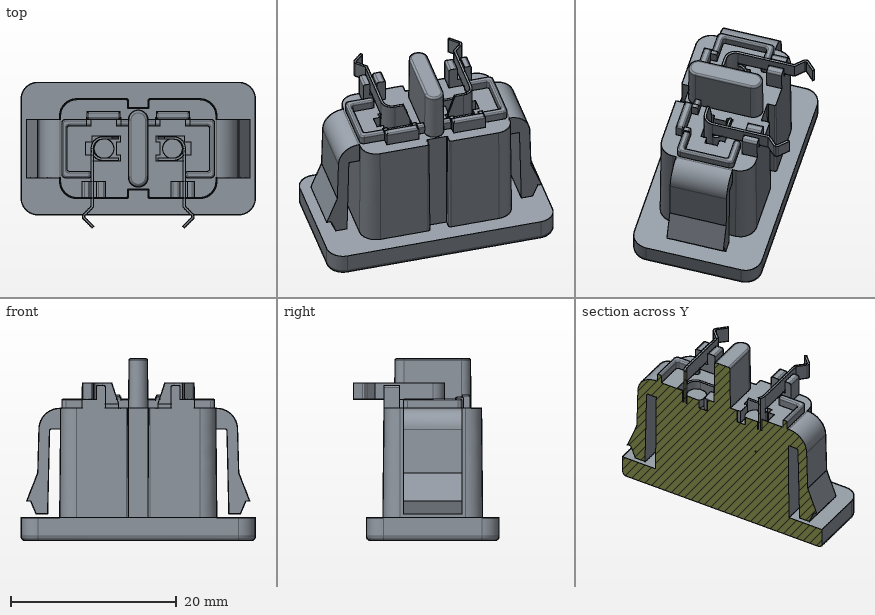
import cadquery as cq
import math

flange_length = 28.3
flange_width = 16.02
flange_height = 2.77
flange_corner = 2.05
flange_edge_round = 0.55

body_length = 19.0
body_width = 12.05
body_top = 16.0
body_corner = 2.07
body_draft = 0.55
groove_width = 2.32
groove_depth = 1.05
groove_edge_round = 0.28

blade_width = 2.38
blade_length = 9.28
blade_top = 22.0
blade_draft = 0.7
blade_edge_round = 0.25

clip_width = 7.08
clip_bend_radius = 2.55
clip_outer_x = 12.0
clip_root_overlap = 0.42
clip_underside = 13.47
clip_inner_x = 10.7
clip_inner_round = 0.17
clip_shoulder = (12.15, 8.18)
clip_tip = (13.47, 4.78)
clip_barb_x = 13.0
clip_foot_z = 3.23
clip_foot_outer_x = 12.35
clip_foot_inner_x = 10.92

rim_top = 17.1
rim_outer_x = 9.23
rim_outer_y = 3.55
rim_wall_x = 0.62
rim_wall_y = 0.8
rim_end_x = 5.72
rim_resume_x = 2.6
rim_corner_round = 0.48
rim_end_round = 0.28
rim_edge_round = 0.2
rim_end_post_top = 17.32
rim_end_post_width = 0.5
tab_top = 17.6
tab_outer_x = 6.2
tab_inner_x = 2.18
tab_back_y = 4.47

pocket_outer_x = 5.6
pocket_inner_x = 2.15
pocket_half_width = 1.5
pocket_notch_x = 6.4
pocket_ledge_x = 2.6
pocket_notch_half_width = 0.8
pocket_depth = 1.7
pin_x = 4.13
pin_radius = 1.2
pin_recess = 0.57

terminal_outer_x = 5.7
terminal_thickness = 0.28
terminal_half_width = 1.42
terminal_bend_radius = 1.4
terminal_bottom = 17.06
terminal_top = 19.05
channel_top = 16.53
arm_end_x = 2.38
arm_slope_start_x = 3.2

lead_bend_y = -7.02
lead_jog = 1.05
lead_flat = 0.28
lead_tip_length = 1.13
lead_kink_round = 0.35

holder_outer_x = 6.75
holder_inner_x = 3.95
holder_back_y = -4.0
holder_top = 18.75
holder_slot_outer_x = 5.95
holder_slot_inner_x = 5.07
holder_edge_round = 0.25

pocket_floor = body_top - pocket_depth


def block(x_range, y_range, z_range):
    """Axis-aligned box spanning the given coordinate ranges."""
    spans = [high - low for low, high in (x_range, y_range, z_range)]
    return cq.Workplane("XY").box(*spans, centered=False).translate(
        (x_range[0], y_range[0], z_range[0])
    )


def make_flange():
    return (
        cq.Workplane("XY")
        .rect(flange_length, flange_width)
        .extrude(flange_height)
        .edges("|Z")
        .fillet(flange_corner)
        .faces("<Z")
        .edges()
        .fillet(flange_edge_round)
    )


def make_body(top):
    """Drafted rounded block, grooved down the middle of each long side, up to the given height."""
    groove_offset = body_width / 2 - groove_depth / 2
    outline = (
        cq.Sketch()
        .rect(body_length, body_width)
        .push([(0, groove_offset), (0, -groove_offset)])
        .rect(groove_width, groove_depth, mode="s")
        .reset()
        .vertices("(>Y or <Y) and (not (>X or <X))")
        .fillet(groove_edge_round)
        .reset()
        .vertices(">X or <X")
        .fillet(body_corner)
    )
    return (
        cq.Workplane("XY", origin=(0, 0, flange_height))
        .placeSketch(outline)
        .extrude(top - flange_height, taper=body_draft)
    )


def make_blade():
    return (
        cq.Workplane("XY", origin=(0, 0, body_top))
        .slot2D(blade_length, blade_width, 90)
        .extrude(blade_top - body_top, taper=blade_draft)
        .faces(">Z")
        .edges()
        .fillet(blade_edge_round)
    )




def make_clip():
    """Snap arm: bends down from the body top and carries a barbed foot."""
    arm_root_x = body_length / 2 - clip_root_overlap
    bend_center_x = clip_outer_x - clip_bend_radius
    bend_center_z = body_top - clip_bend_radius
    bend_diagonal = clip_bend_radius * math.sqrt(0.5)
    return (
        cq.Workplane("XZ", origin=(0, clip_width / 2, 0))
        .moveTo(-arm_root_x, body_top)
        .lineTo(-bend_center_x, body_top)
        .threePointArc(
            (-bend_center_x - bend_diagonal, bend_center_z + bend_diagonal),
            (-clip_outer_x, bend_center_z),
        )
        .lineTo(-clip_shoulder[0], clip_shoulder[1])
        .lineTo(-clip_tip[0], clip_tip[1])
        .lineTo(-clip_barb_x, clip_tip[1])
        .lineTo(-clip_foot_outer_x, clip_foot_z)
        .lineTo(-clip_foot_inner_x, clip_foot_z)
        .lineTo(-clip_inner_x, clip_underside - clip_inner_round)
        .radiusArc((-clip_inner_x + clip_inner_round, clip_underside), clip_inner_round)
        .lineTo(-arm_root_x, clip_underside)
        .close()
        .extrude(clip_width)
    )


def make_rim():
    """C-shaped raised wall around the outer end of the terminal floor."""
    inner_y = rim_outer_y - rim_wall_y
    return (
        cq.Workplane("XY", origin=(0, 0, body_top))
        .polyline(
            [
                (-rim_end_x, rim_outer_y),
                (-rim_outer_x, rim_outer_y),
                (-rim_outer_x, -rim_outer_y),
                (-rim_end_x, -rim_outer_y),
                (-rim_end_x, -inner_y),
                (-rim_outer_x + rim_wall_x, -inner_y),
                (-rim_outer_x + rim_wall_x, inner_y),
                (-rim_end_x, inner_y),
            ]
        )
        .close()
        .extrude(rim_top - body_top)
        .edges("|Z and <X")
        .fillet(rim_corner_round)
        .edges("|Z and (not <X)")
        .fillet(rim_end_round)
        .faces(">Z")
        .edges()
        .fillet(rim_edge_round)
    )


def make_rim_tab():
    """Taller rear tab, the two posts beside it and the short wall running to the blade."""
    inner_y = rim_outer_y - rim_wall_y
    tab = (
        block((-tab_outer_x, -tab_inner_x), (rim_outer_y, tab_back_y), (body_top, tab_top))
        .faces(">Z")
        .edges()
        .fillet(rim_edge_round)
    )
    for outer_x in (rim_end_x + rim_end_post_width, rim_resume_x):
        post = block(
            (-outer_x, -outer_x + rim_end_post_width),
            (inner_y, rim_outer_y + rim_edge_round),
            (body_top, rim_end_post_top),
        )
        tab = tab.union(post.faces(">Z").edges("|X").fillet(rim_edge_round))
    link = (
        block((-rim_resume_x, 0), (inner_y, rim_outer_y), (body_top, rim_top))
        .faces(">Z")
        .edges("|X")
        .fillet(rim_edge_round)
    )
    return tab.union(link)


def make_pocket():
    """Cavity for the terminal: a side notch, a ledge between the arms and a central pin."""
    depth_range = (pocket_floor, body_top)
    notch_range = (-pocket_notch_half_width, pocket_notch_half_width)
    width_range = (-pocket_half_width, pocket_half_width)
    cavity = block((-pocket_outer_x, -pocket_inner_x), width_range, depth_range)
    ledge = block((-pocket_ledge_x, -pocket_inner_x), notch_range, depth_range)
    notch = block((-pocket_notch_x, -pocket_outer_x), notch_range, depth_range)
    pin = (
        cq.Workplane("XY", origin=(-pin_x, 0, pocket_floor))
        .circle(pin_radius)
        .extrude(pocket_depth - pin_recess)
    )
    return cavity.cut(ledge).union(notch).cut(pin)


def sweep_strip(path, start, bottom, top):
    """Upright strip following a plan path that begins along X at the start point."""
    return (
        cq.Workplane("YZ", origin=(start[0], start[1], bottom))
        .center(0, (top - bottom) / 2)
        .rect(terminal_thickness, top - bottom)
        .sweep(path, transition="right")
    )


def make_terminal():
    """Bent strip: U-shaped channel in the pocket and a long kinked lead leaving at -Y."""
    half_thickness = terminal_thickness / 2
    lead_x = -terminal_outer_x + half_thickness
    arm_y = terminal_half_width - half_thickness
    bend = terminal_bend_radius - half_thickness
    bend_x = lead_x + bend
    bend_y = arm_y - bend
    bend_inset = bend * (1 - math.sqrt(0.5))
    rear_mid = (lead_x + bend_inset, arm_y - bend_inset)
    front_mid = (lead_x + bend_inset, -arm_y + bend_inset)
    kink_x = lead_x - lead_jog
    kink_y = lead_bend_y - lead_jog
    tip_start_y = kink_y - lead_flat

    channel_path = (
        cq.Workplane("XY")
        .moveTo(-arm_end_x, arm_y)
        .lineTo(bend_x, arm_y)
        .threePointArc(rear_mid, (lead_x, bend_y))
        .lineTo(lead_x, -bend_y)
        .threePointArc(front_mid, (bend_x, -arm_y))
        .lineTo(-arm_end_x, -arm_y)
    )
    channel = sweep_strip(channel_path, (-arm_end_x, arm_y), pocket_floor, channel_top)

    def rear_bend():
        start = cq.Workplane("XY").moveTo(bend_x, arm_y)
        return start.threePointArc(rear_mid, (lead_x, bend_y))

    bend_wall = sweep_strip(rear_bend(), (bend_x, arm_y), channel_top, terminal_bottom)

    lead_path = (
        rear_bend()
        .lineTo(lead_x, lead_bend_y)
        .lineTo(kink_x, kink_y)
        .lineTo(kink_x, tip_start_y)
        .lineTo(kink_x + lead_tip_length, tip_start_y - lead_tip_length)
    )
    lead = sweep_strip(lead_path, (bend_x, arm_y), terminal_bottom, terminal_top)
    lead = lead.edges("|Z and <X").fillet(lead_kink_round)

    rear_arm = (
        cq.Workplane("XZ", origin=(0, terminal_half_width, 0))
        .polyline(
            [
                (bend_x, channel_top),
                (-arm_end_x, channel_top),
                (-arm_slope_start_x, terminal_top),
                (bend_x, terminal_top),
            ]
        )
        .close()
        .extrude(terminal_thickness)
    )
    return channel.union(bend_wall).union(lead).union(rear_arm)


def make_holder():
    """Two fingers flush with the body front; the terminal lead rests in the slot between them."""
    y_range = (-body_width / 2, holder_back_y)
    holder = block((-holder_outer_x, -holder_inner_x), y_range, (body_top, terminal_bottom))
    outer_finger = block((-holder_outer_x, -holder_slot_outer_x), y_range, (body_top, holder_top))
    outer_finger = outer_finger.edges("|Y and >Z and <X").fillet(holder_edge_round)
    inner_finger = block((-holder_slot_inner_x, -holder_inner_x), y_range, (body_top, holder_top))
    inner_finger = inner_finger.faces(">Z").edges("|Y").fillet(holder_edge_round)
    return holder.union(outer_finger).union(inner_finger).intersect(make_body(holder_top))


side_parts = make_clip().union(make_rim()).union(make_rim_tab())
side_parts = side_parts.union(make_holder()).union(make_terminal())
pocket = make_pocket()

result = make_flange().union(make_body(body_top)).union(make_blade())
result = result.cut(pocket).cut(pocket.mirror("YZ"))
result = result.union(side_parts).union(side_parts.mirror("YZ"))